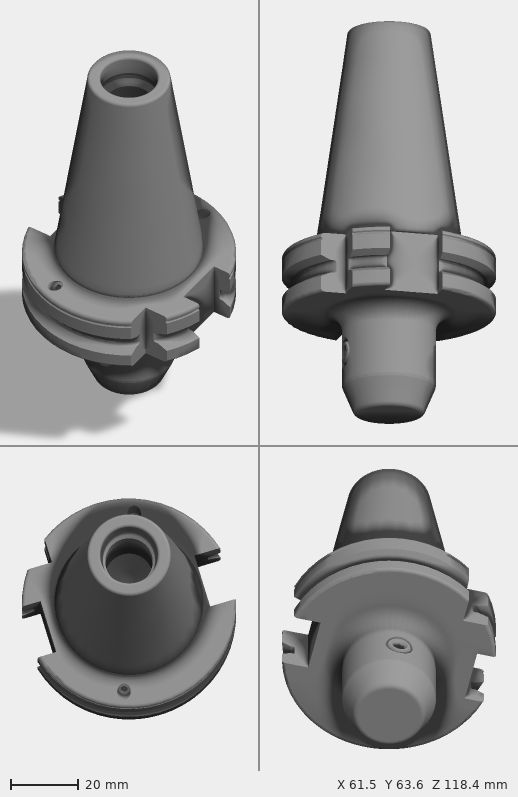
import cadquery as cq
import math

TOTAL_LENGTH = 118.4

NOSE_RADIUS = 14.0
NOSE_TIP_RADIUS = 10.3
NOSE_CONE_HEIGHT = 8.6
NOSE_TIP_FILLET = 1.7
NOSE_SHOULDER_FILLET = 2.5
FLANGE_ROOT_FILLET = 5.0

FLANGE_DIAMETER = 63.6
FLANGE_RADIUS = FLANGE_DIAMETER / 2
FLANGE_BOTTOM = 30.9
FLANGE_TOP = 49.1
FLANGE_RIM_FILLET = 1.1

V_GROOVE_CENTER = 39.0
V_GROOVE_RADIUS = 28.1
V_GROOVE_FLANK_ANGLE = 30.0
V_GROOVE_CORNER_FILLET = 0.6
V_GROOVE_MOUTH = 6.6
V_GROOVE_FLOOR = 3.8

RING_GROOVE_BOTTOM = 46.6
RING_GROOVE_WIDTH = 1.2
RING_GROOVE_DEPTH = 0.4
RING_GROOVE_FLANK = 0.4

TAPER_SLOPE = 7 / 24 / 2
GAUGE_RADIUS = 22.3
GAUGE_HEIGHT = 50.0
TAPER_BOTTOM = 51.0
TAPER_TOP_FILLET = 1.0
NECK_BOTTOM = 50.4
UNDERCUT_DEPTH = 0.2
UNDERCUT_TOP = 50.2
UNDERCUT_BOTTOM = 49.7
NECK_FOOT_HEIGHT = 0.1
NECK_FOOT_TOP_RADIUS = 22.6
NECK_FOOT_RADIUS = 23.3

BORE_RADIUS = 8.5
BORE_RIM_FILLET = 0.8
BORE_DEPTH = 6.0
RELIEF_RADIUS = 9.0
RELIEF_START = 7.2
RELIEF_END = 8.4
THREAD_RADIUS = 7.05
THREAD_START = 10.0
THREAD_DEPTH = 32.0
DRILL_TIP_ANGLE = 118.0

SLOT_WIDTH = 16.1
LEFT_SLOT_FLOOR = 22.7
RIGHT_SLOT_FLOOR = 25.0
CORNER_NOTCH_X = 18.4
CORNER_NOTCH_Y = 18.4

SCREW_HEIGHT = 18.1
SCREW_SINK_RADIUS = 4.9
SCREW_RADIUS = 3.8
SCREW_FACE_RADIUS = 3.1
SCREW_FACE_DEPTH = 0.1
SCREW_SOCKET_RIM = 2.5
SCREW_SOCKET_FLATS = 3.0
SCREW_SOCKET_DEPTH = 3.0

PLUG_CIRCLE_RADIUS = 27.0
PLUG_ANGLE = 70.0
PLUG_RADIUS = 2.0
PLUG_TILT = 35.0
PLUG_DEPTH = 1.7
PLUG_SOCKET_FLATS = 2.0
PLUG_SOCKET_DEPTH = 1.4

CUT_MARGIN = 2.4


def taper_radius(z):
    return GAUGE_RADIUS - (z - GAUGE_HEIGHT) * TAPER_SLOPE


def revolved(profile):
    """Turn a closed (radius, height) profile about the Z axis."""
    return profile.close().revolve(360, (0, 0, 0), (0, 1, 0))


def hexagon_diameter(across_flats):
    return across_flats / math.cos(math.radians(30))


def make_nose():
    profile = (
        cq.Workplane("XZ")
        .lineTo(NOSE_TIP_RADIUS, 0)
        .lineTo(NOSE_RADIUS, NOSE_CONE_HEIGHT)
        .lineTo(NOSE_RADIUS, FLANGE_BOTTOM - FLANGE_ROOT_FILLET)
        .radiusArc((NOSE_RADIUS + FLANGE_ROOT_FILLET, FLANGE_BOTTOM), FLANGE_ROOT_FILLET)
        .lineTo(0, FLANGE_BOTTOM)
    )
    nose = revolved(profile)
    nose = nose.faces("<Z").edges().fillet(NOSE_TIP_FILLET)
    shoulder = cq.selectors.NearestToPointSelector((0, 0, NOSE_CONE_HEIGHT))
    return nose.edges("%CIRCLE").edges(shoulder).fillet(NOSE_SHOULDER_FILLET)


def make_flange():
    ring_inner = FLANGE_RADIUS - RING_GROOVE_DEPTH
    ring_top = RING_GROOVE_BOTTOM + RING_GROOVE_WIDTH
    flank_height = (V_GROOVE_MOUTH - V_GROOVE_FLOOR) / 2
    flank_end_radius = FLANGE_RADIUS - flank_height / math.tan(math.radians(V_GROOVE_FLANK_ANGLE))
    floor_bottom = V_GROOVE_CENTER - V_GROOVE_FLOOR / 2
    floor_top = V_GROOVE_CENTER + V_GROOVE_FLOOR / 2
    corner = V_GROOVE_CORNER_FILLET
    profile = (
        cq.Workplane("XZ")
        .moveTo(0, FLANGE_BOTTOM)
        .lineTo(FLANGE_RADIUS - FLANGE_RIM_FILLET, FLANGE_BOTTOM)
        .radiusArc((FLANGE_RADIUS, FLANGE_BOTTOM + FLANGE_RIM_FILLET), -FLANGE_RIM_FILLET)
        .lineTo(FLANGE_RADIUS, V_GROOVE_CENTER - V_GROOVE_MOUTH / 2)
        .lineTo(flank_end_radius, floor_bottom)
        .lineTo(V_GROOVE_RADIUS + corner, floor_bottom)
        .radiusArc((V_GROOVE_RADIUS, floor_bottom + corner), corner)
        .lineTo(V_GROOVE_RADIUS, floor_top - corner)
        .radiusArc((V_GROOVE_RADIUS + corner, floor_top), corner)
        .lineTo(flank_end_radius, floor_top)
        .lineTo(FLANGE_RADIUS, V_GROOVE_CENTER + V_GROOVE_MOUTH / 2)
        .lineTo(FLANGE_RADIUS, RING_GROOVE_BOTTOM)
        .lineTo(ring_inner, RING_GROOVE_BOTTOM + RING_GROOVE_FLANK)
        .lineTo(ring_inner, ring_top - RING_GROOVE_FLANK)
        .lineTo(FLANGE_RADIUS, ring_top)
        .lineTo(FLANGE_RADIUS, FLANGE_TOP - FLANGE_RIM_FILLET)
        .radiusArc((FLANGE_RADIUS - FLANGE_RIM_FILLET, FLANGE_TOP), -FLANGE_RIM_FILLET)
        .lineTo(0, FLANGE_TOP)
    )
    return revolved(profile)


def make_taper():
    neck_radius = taper_radius(TAPER_BOTTOM)
    undercut_radius = neck_radius - UNDERCUT_DEPTH
    profile = (
        cq.Workplane("XZ")
        .moveTo(0, FLANGE_TOP)
        .lineTo(NECK_FOOT_RADIUS, FLANGE_TOP)
        .lineTo(NECK_FOOT_TOP_RADIUS, FLANGE_TOP + NECK_FOOT_HEIGHT)
        .lineTo(undercut_radius, UNDERCUT_BOTTOM)
        .lineTo(undercut_radius, UNDERCUT_TOP)
        .lineTo(neck_radius, NECK_BOTTOM)
        .lineTo(neck_radius, TAPER_BOTTOM)
        .lineTo(taper_radius(TOTAL_LENGTH), TOTAL_LENGTH)
        .lineTo(0, TOTAL_LENGTH)
    )
    return revolved(profile).faces(">Z").edges().fillet(TAPER_TOP_FILLET)


def make_taper_bore():
    tip_height = THREAD_RADIUS / math.tan(math.radians(DRILL_TIP_ANGLE / 2))
    profile = (
        cq.Workplane("XZ")
        .moveTo(0, TOTAL_LENGTH)
        .lineTo(BORE_RADIUS + BORE_RIM_FILLET, TOTAL_LENGTH)
        .radiusArc((BORE_RADIUS, TOTAL_LENGTH - BORE_RIM_FILLET), -BORE_RIM_FILLET)
        .lineTo(BORE_RADIUS, TOTAL_LENGTH - BORE_DEPTH)
        .lineTo(RELIEF_RADIUS, TOTAL_LENGTH - RELIEF_START)
        .lineTo(RELIEF_RADIUS, TOTAL_LENGTH - RELIEF_END)
        .lineTo(THREAD_RADIUS, TOTAL_LENGTH - THREAD_START)
        .lineTo(THREAD_RADIUS, TOTAL_LENGTH - THREAD_DEPTH)
        .lineTo(0, TOTAL_LENGTH - THREAD_DEPTH - tip_height)
    )
    return revolved(profile)


def make_flange_slots():
    """Two driving slots in the flange and one notch in its (+X, -Y) corner, all through its height.

    They reach above the flange face so that the left slot also trims the foot of the neck.
    """
    height = UNDERCUT_BOTTOM - FLANGE_BOTTOM
    reach = FLANGE_RADIUS + CUT_MARGIN

    def block(x_min, x_max, y_min, y_max):
        corner = (x_min, y_min, FLANGE_BOTTOM)
        size = (x_max - x_min, y_max - y_min, height)
        return cq.Workplane("XY").box(*size, centered=False).translate(corner)

    half_width = SLOT_WIDTH / 2
    left = block(-reach, -LEFT_SLOT_FLOOR, -half_width, half_width)
    right = block(RIGHT_SLOT_FLOOR, reach, -half_width, half_width)
    corner = block(CORNER_NOTCH_X, reach, -reach, -CORNER_NOTCH_Y)
    return left.union(right).union(corner)


def make_screw_pocket():
    """Countersink around the screw's chamfered end, with a hexagon socket in the screw."""
    sink_depth = SCREW_SINK_RADIUS - SCREW_RADIUS
    socket_radius = SCREW_SOCKET_FLATS / 2
    lead_in_depth = SCREW_FACE_DEPTH + SCREW_SOCKET_RIM - socket_radius
    profile = (
        cq.Workplane("XZ")
        .moveTo(0, CUT_MARGIN)
        .lineTo(SCREW_SINK_RADIUS + CUT_MARGIN, CUT_MARGIN)
        .lineTo(SCREW_RADIUS, -sink_depth)
        .lineTo(SCREW_FACE_RADIUS, -SCREW_FACE_DEPTH)
        .lineTo(SCREW_SOCKET_RIM, -SCREW_FACE_DEPTH)
        .lineTo(socket_radius, -lead_in_depth)
        .lineTo(0, -lead_in_depth)
    )
    socket = (
        cq.Workplane("XY", origin=(0, 0, -SCREW_FACE_DEPTH))
        .polygon(6, hexagon_diameter(SCREW_SOCKET_FLATS))
        .extrude(-SCREW_SOCKET_DEPTH)
        .rotate((0, 0, 0), (0, 0, 1), 90)
    )
    pocket = revolved(profile).union(socket)
    return pocket.rotate((0, 0, 0), (1, 0, 0), 90).translate((0, -NOSE_RADIUS, SCREW_HEIGHT))


def make_plug_pocket(angle):
    """Tilted hole in the flange face, running down and inward to a plug with a hexagon socket."""
    plug_face = cq.Workplane("XY", origin=(0, 0, -PLUG_DEPTH))
    hole = plug_face.circle(PLUG_RADIUS).extrude(PLUG_DEPTH + CUT_MARGIN)
    socket = (
        plug_face
        .polygon(6, hexagon_diameter(PLUG_SOCKET_FLATS))
        .extrude(-PLUG_SOCKET_DEPTH)
    )
    return (
        hole.union(socket)
        .rotate((0, 0, 0), (0, 1, 0), PLUG_TILT)
        .translate((PLUG_CIRCLE_RADIUS, 0, FLANGE_TOP))
        .rotate((0, 0, 0), (0, 0, 1), angle)
    )


result = make_nose().union(make_flange()).union(make_taper())
result = result.cut(make_flange_slots()).cut(make_taper_bore()).cut(make_screw_pocket())
for plug_angle in (PLUG_ANGLE, PLUG_ANGLE + 180):
    result = result.cut(make_plug_pocket(plug_angle))